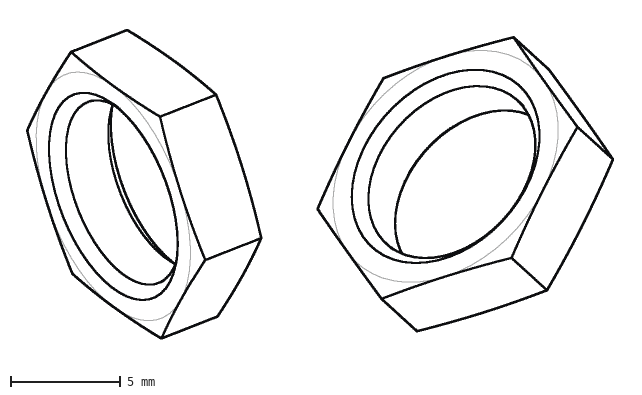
import cadquery as cq
import math

LENGTH_X = 13.86
THICKNESS = 3.5
TURN = 0.5
BORE_DIAMETER = 8.9
COUNTERSINK_DIAMETER = 10.0
COUNTERSINK_ANGLE = 45.0
CORNER_BEVEL_ANGLE = 10.0

corner_radius = LENGTH_X / 2 / math.cos(math.radians(TURN))
flat_radius = corner_radius * math.cos(math.radians(30))
half_thickness = THICKNESS / 2
bore_radius = BORE_DIAMETER / 2
countersink_radius = COUNTERSINK_DIAMETER / 2
countersink_depth = (countersink_radius - bore_radius) * math.tan(math.radians(COUNTERSINK_ANGLE))
bevel_depth = (corner_radius - flat_radius) * math.tan(math.radians(CORNER_BEVEL_ANGLE))


def hexagon_body():
    """Hexagonal prism along Y, centred on the origin."""
    return (
        cq.Workplane("XZ")
        .polygon(6, 2 * corner_radius)
        .extrude(half_thickness, both=True)
        .rotate((0, 0, 0), (0, 1, 0), -TURN)
    )


def turned_ring():
    """Ring about Y with beveled outer rims and a bore countersunk at both ends."""
    profile = [
        (bore_radius, -half_thickness + countersink_depth),
        (countersink_radius, -half_thickness),
        (flat_radius, -half_thickness),
        (corner_radius, -half_thickness + bevel_depth),
        (corner_radius, half_thickness - bevel_depth),
        (flat_radius, half_thickness),
        (countersink_radius, half_thickness),
        (bore_radius, half_thickness - countersink_depth),
    ]
    return cq.Workplane("XY").polyline(profile).close().revolve(360, (0, 0), (0, 1))


result = hexagon_body().intersect(turned_ring())